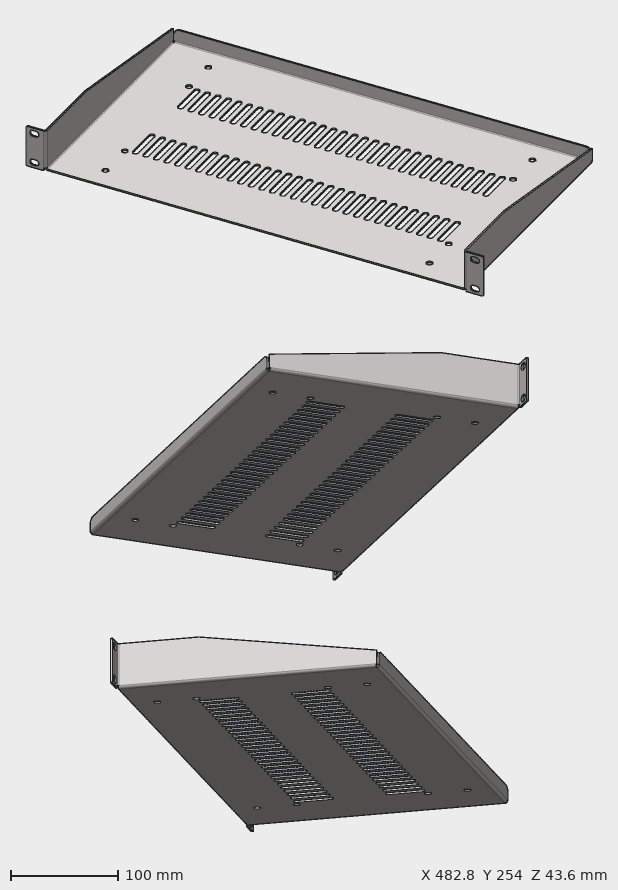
import cadquery as cq
import math

WIDTH = 482.75
DEPTH = 254.0
HEIGHT = 43.64

THICKNESS = 1.8
INNER_RADIUS = 0.9
OUTER_RADIUS = INNER_RADIUS + THICKNESS

TRAY_WIDTH = 444.0
BACK_WALL_HEIGHT = 15.875
BACK_CORNER_RADIUS = 6.35
SLOPE_START_Y = -47.0
BACK_WALL_INSET = 1.6
CORNER_GAP = 0.1

EAR_CORNER_RADIUS = 1.6
RACK_HOLE_SPACING_X = 465.12
RACK_HOLE_SPACING_Z = 31.75
RACK_SLOT_LENGTH = 9.5
RACK_SLOT_HEIGHT = 6.35

VENT_COUNT = 30
VENT_PITCH = 11.1125
VENT_LENGTH = 38.1
VENT_WIDTH = 5.9
VENT_ROW_Y = 44.45
HOLE_DIAMETER = 6.35
HOLE_X = 171.0
HOLE_ROWS_Y = (63.5, 101.6)

HALF_TRAY = TRAY_WIDTH / 2
FLOOR_HALF = HALF_TRAY - OUTER_RADIUS
FRONT_Y = -DEPTH / 2
BACK_Y = DEPTH / 2
FLOOR_FRONT_Y = FRONT_Y + THICKNESS
SIDE_BACK_Y = BACK_Y - OUTER_RADIUS
SIDE_WALL_BACK_Y = BACK_Y - THICKNESS - CORNER_GAP
BACK_WALL_HALF = HALF_TRAY - BACK_WALL_INSET

OUTER_MID = OUTER_RADIUS * math.sqrt(0.5)
INNER_MID = INNER_RADIUS * math.sqrt(0.5)


def make_floor():
    """Flat bottom sheet, ending where the side and back bends begin."""
    depth = SIDE_BACK_Y - FLOOR_FRONT_Y
    return cq.Workplane("XY", origin=(0, FLOOR_FRONT_Y, 0)).box(
        2 * FLOOR_HALF, depth, THICKNESS, centered=(True, False, False)
    )


def bent_wall(workplane, height):
    """Closed section of a quarter bend from (0, 0) rising into a wall on the positive side."""
    return (
        workplane.moveTo(0, 0)
        .threePointArc((OUTER_MID, OUTER_RADIUS - OUTER_MID), (OUTER_RADIUS, OUTER_RADIUS))
        .lineTo(OUTER_RADIUS, height)
        .lineTo(INNER_RADIUS, height)
        .lineTo(INNER_RADIUS, OUTER_RADIUS)
        .threePointArc((INNER_MID, OUTER_RADIUS - INNER_MID), (0, THICKNESS))
        .close()
    )


def make_right_side():
    """Right side wall with its floor bend, cut to the sloping top edge.

    The flat wall runs past the end of the bend to close the rear corner.
    """
    length = SIDE_BACK_Y - FLOOR_FRONT_Y
    origin = (FLOOR_HALF, SIDE_BACK_Y, 0)
    wall = bent_wall(cq.Workplane("XZ", origin=origin), HEIGHT).extrude(length)
    wall_tail = cq.Workplane("XY", origin=(HALF_TRAY - THICKNESS, SIDE_BACK_Y, OUTER_RADIUS)).box(
        THICKNESS, SIDE_WALL_BACK_Y - SIDE_BACK_Y, HEIGHT - OUTER_RADIUS, centered=False
    )
    above_slope = (
        cq.Workplane("YZ")
        .polyline([(SLOPE_START_Y, HEIGHT), (BACK_Y, BACK_WALL_HEIGHT), (BACK_Y, HEIGHT)])
        .close()
        .extrude(HALF_TRAY)
    )
    ear_bend_space = cq.Workplane("XY", origin=(0, FRONT_Y, OUTER_RADIUS)).box(
        WIDTH / 2, OUTER_RADIUS, HEIGHT, centered=False
    )
    return wall.union(wall_tail).cut(above_slope).cut(ear_bend_space)


def make_back_wall():
    """Back wall with rounded upper corners, on a floor bend as wide as the flat floor."""
    origin = (-FLOOR_HALF, SIDE_BACK_Y, 0)
    wall_middle = BACK_WALL_HEIGHT / 2
    bend = bent_wall(cq.Workplane("YZ", origin=origin), wall_middle).extrude(2 * FLOOR_HALF)
    plate = (
        cq.Workplane("XY", origin=(0, BACK_Y - THICKNESS, OUTER_RADIUS))
        .box(2 * BACK_WALL_HALF, THICKNESS, BACK_WALL_HEIGHT - OUTER_RADIUS, centered=(True, False, False))
        .edges("|Y and >Z")
        .fillet(BACK_CORNER_RADIUS)
    )
    return bend.union(plate)


def make_right_ear():
    """Right rack ear with its bend to the side wall, bend relief at the bottom and two slots."""
    inner_face_x = HALF_TRAY - THICKNESS
    bend_x = inner_face_x + OUTER_RADIUS
    bend_y = FRONT_Y + OUTER_RADIUS
    ear = (
        cq.Workplane("XY")
        .moveTo(inner_face_x, bend_y)
        .threePointArc((bend_x - OUTER_MID, bend_y - OUTER_MID), (bend_x, FRONT_Y))
        .lineTo(WIDTH / 2, FRONT_Y)
        .lineTo(WIDTH / 2, FRONT_Y + THICKNESS)
        .lineTo(bend_x, FRONT_Y + THICKNESS)
        .threePointArc((bend_x - INNER_MID, bend_y - INNER_MID), (HALF_TRAY, bend_y))
        .close()
        .extrude(HEIGHT)
        .edges("|Y and >X")
        .fillet(EAR_CORNER_RADIUS)
    )
    bend_relief = cq.Workplane("XY", origin=(0, FRONT_Y, 0)).box(
        bend_x, OUTER_RADIUS, OUTER_RADIUS, centered=False
    )
    slots = (
        cq.Workplane("XZ", origin=(RACK_HOLE_SPACING_X / 2, 0, HEIGHT / 2))
        .rarray(1, RACK_HOLE_SPACING_Z, 1, 2)
        .slot2D(RACK_SLOT_LENGTH, RACK_SLOT_HEIGHT)
        .extrude(DEPTH)
    )
    return ear.cut(bend_relief).cut(slots)


def floor_openings():
    """Cutters for the two rows of vent slots and the eight round holes."""
    vents = (
        cq.Workplane("XY")
        .rarray(VENT_PITCH, 2 * VENT_ROW_Y, VENT_COUNT, 2)
        .slot2D(VENT_LENGTH, VENT_WIDTH, 90)
        .extrude(THICKNESS)
    )
    hole_points = [(x, side * y) for x in (-HOLE_X, HOLE_X) for y in HOLE_ROWS_Y for side in (-1, 1)]
    holes = cq.Workplane("XY").pushPoints(hole_points).circle(HOLE_DIAMETER / 2).extrude(THICKNESS)
    return vents.union(holes)


right_half = make_right_side().union(make_right_ear())
left_half = right_half.mirror("YZ")
tray = make_floor().cut(floor_openings()).union(make_back_wall())
result = tray.union(right_half).union(left_half)